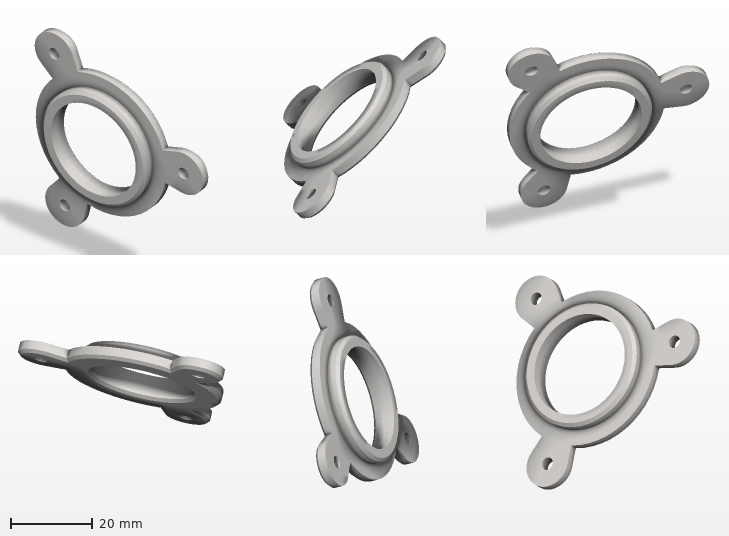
import cadquery as cq
import math

total_depth = 6.0
plate_thickness = total_depth / 2
boss_height = total_depth - plate_thickness
ring_diameter = 40.0
boss_diameter = 32.0
bore_diameter = 26.0
lug_radius = 6.0
lug_distance = 25.5
lug_hole_diameter = 3.2
lug_count = 3
first_lug_angle = 4.2
edge_chamfer = 0.8

lug_angles = [first_lug_angle + i * 360 / lug_count for i in range(lug_count)]


def front_plane():
    """XZ sketch plane on the plate's boss-side face; its normal is -Y."""
    return cq.Workplane("XZ")


def make_lug(angle):
    """Rounded lug whose straight sides run from the ring axis, tangent to its end."""
    half_angle = math.asin(lug_radius / lug_distance)
    tangent_length = lug_distance * math.cos(half_angle)
    tangent_x = tangent_length * math.cos(half_angle)
    tangent_z = tangent_length * math.sin(half_angle)
    lug = (
        front_plane()
        .lineTo(tangent_x, -tangent_z)
        .threePointArc((lug_distance + lug_radius, 0), (tangent_x, tangent_z))
        .close()
        .extrude(-plate_thickness)
    )
    return lug.rotate((0, 0, 0), (0, -1, 0), angle)


def make_bore():
    """Cutter for the central bore, passing through the plate and the boss."""
    return front_plane().circle(bore_diameter / 2).extrude(total_depth, both=True)


def make_plate():
    """Ring with lugs, chamfered on the back around the outline and the bore."""
    plate = front_plane().circle(ring_diameter / 2).extrude(-plate_thickness)
    for angle in lug_angles:
        plate = plate.union(make_lug(angle))
    plate = plate.cut(make_bore())
    return plate.faces(">Y").edges().chamfer(edge_chamfer)


def make_boss():
    """Raised round boss, bored through, with a chamfered outer rim."""
    boss = front_plane().circle(boss_diameter / 2).extrude(boss_height)
    boss = boss.faces("<Y").edges().chamfer(edge_chamfer)
    return boss.cut(make_bore())


def make_lug_holes():
    """Cutters for one through hole at the centre of each lug's round end."""
    lug_centres = [
        (lug_distance * math.cos(math.radians(a)), lug_distance * math.sin(math.radians(a)))
        for a in lug_angles
    ]
    return front_plane().pushPoints(lug_centres).circle(lug_hole_diameter / 2).extrude(-plate_thickness)


result = make_plate().union(make_boss()).cut(make_lug_holes())